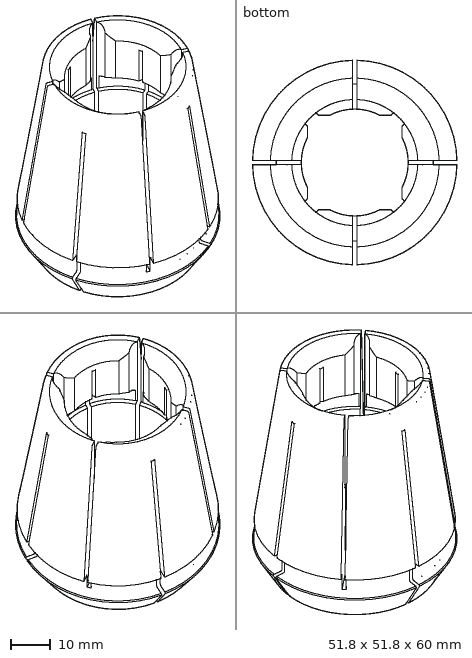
import cadquery as cq
import math

height = 60.0
bottom_radius = 21.35

flange_diameter = 51.8
flange_top = 8.35
flange_edge_chamfer = 0.3

neck_radius = 23.0
neck_fillet = 0.55
taper_bottom = 14.1

taper_bottom_radius = 25.5
taper_angle = 8.0
rim_fillet = 0.5

shank_radius = 15.95
relief_radius = 17.1
relief_bottom = 37.0
relief_wall_top = 41.1
relief_roof_angle = 31.0
drive_hole_radius = 13.5
drive_square = 23.9
corner_hole_radius = 2.0
corner_hole_offset = 10.85
mouth_radius = 17.3
mouth_angle = 45.0

slot_width = 1.0
lower_slot_top = 54.0
upper_slot_bottom = 9.1
slot_length = 1.5 * flange_diameter

flange_radius = flange_diameter / 2
taper_top_radius = taper_bottom_radius - (height - taper_bottom) * math.tan(math.radians(taper_angle))


def make_body():
    """Solid of revolution with the flange, neck groove and taper."""
    body = (
        cq.Workplane("XZ")
        .moveTo(0, 0)
        .lineTo(bottom_radius, 0)
        .lineTo(flange_radius, flange_top - flange_edge_chamfer)
        .lineTo(flange_radius - flange_edge_chamfer, flange_top)
        .lineTo(neck_radius + neck_fillet, flange_top)
        .radiusArc((neck_radius, flange_top + neck_fillet), neck_fillet)
        .lineTo(neck_radius, taper_bottom - neck_fillet)
        .radiusArc((neck_radius + neck_fillet, taper_bottom), neck_fillet)
        .lineTo(taper_bottom_radius, taper_bottom)
        .lineTo(taper_top_radius, height)
        .lineTo(0, height)
        .close()
        .revolve(360, (0, 0, 0), (0, 1, 0))
    )
    return body.faces(">Z").edges().fillet(rim_fillet)


def make_shank_bore():
    """Shank seat and the wider relief groove with its conical roof."""
    roof_rise = (relief_radius - drive_hole_radius) * math.tan(math.radians(relief_roof_angle))
    return (
        cq.Workplane("XZ")
        .moveTo(0, 0)
        .lineTo(shank_radius, 0)
        .lineTo(shank_radius, relief_bottom)
        .lineTo(relief_radius, relief_bottom)
        .lineTo(relief_radius, relief_wall_top)
        .lineTo(drive_hole_radius, relief_wall_top + roof_rise)
        .lineTo(0, relief_wall_top + roof_rise)
        .close()
        .revolve(360, (0, 0, 0), (0, 1, 0))
    )


def make_drive_bore():
    """Square drive with relieved corners, a round hole and a conical mouth."""
    depth = height - relief_bottom
    base = cq.Workplane("XY").workplane(offset=relief_bottom)
    square = base.rect(drive_square, drive_square).extrude(depth)
    corner_trim_radius = math.hypot(corner_hole_offset, corner_hole_offset)
    square = square.intersect(base.circle(corner_trim_radius).extrude(depth))
    corner_holes = (
        base.rect(2 * corner_hole_offset, 2 * corner_hole_offset, forConstruction=True)
        .vertices()
        .circle(corner_hole_radius)
        .extrude(depth)
    )
    round_hole = base.circle(drive_hole_radius).extrude(depth)
    mouth_depth = (mouth_radius - drive_hole_radius) / math.tan(math.radians(mouth_angle))
    mouth = (
        cq.Workplane("XY")
        .workplane(offset=height - mouth_depth)
        .circle(drive_hole_radius)
        .workplane(offset=mouth_depth)
        .circle(mouth_radius)
        .loft()
    )
    return round_hole.union(square).union(corner_holes).union(mouth)


def make_cross_slots(bottom, top, angle):
    """Two crossing slots through the whole collet between two heights."""
    slots = cq.Workplane("XY")
    for turn in (angle, angle + 90):
        slot = (
            cq.Workplane("XY")
            .box(slot_length, slot_width, top - bottom, centered=(True, True, False))
            .translate((0, 0, bottom))
            .rotate((0, 0, 0), (0, 0, 1), turn)
        )
        slots = slots.add(slot)
    return slots.combine()


result = (
    make_body()
    .cut(make_shank_bore())
    .cut(make_drive_bore())
    .cut(make_cross_slots(0, lower_slot_top, 0))
    .cut(make_cross_slots(upper_slot_bottom, height, 45))
)